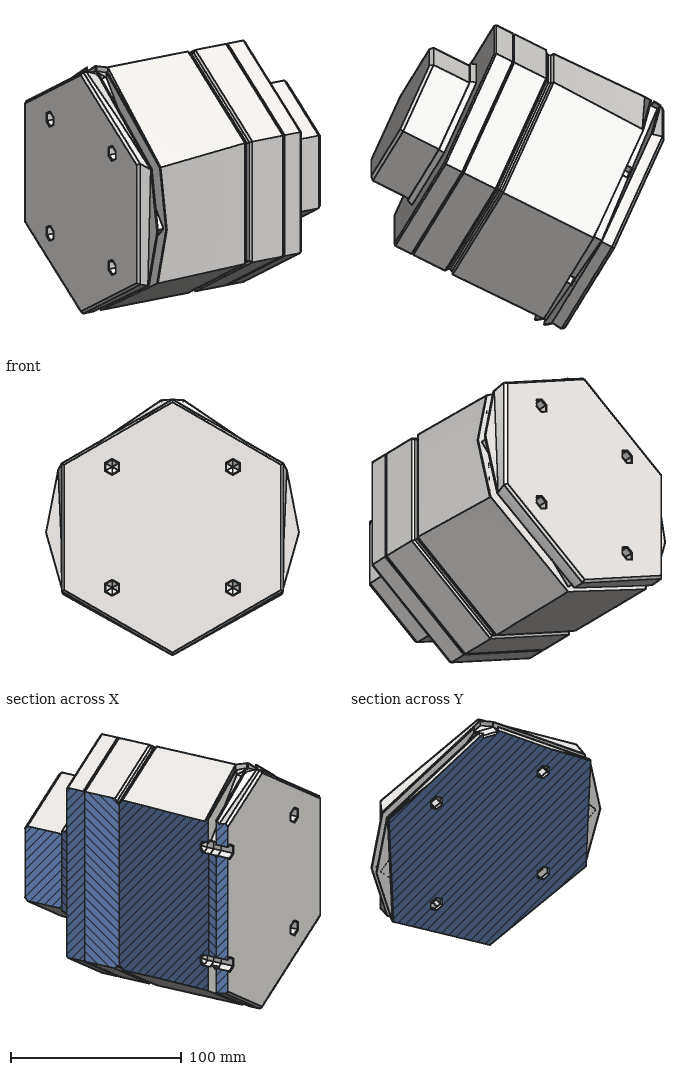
import cadquery as cq
import math


HEAD_RADIUS = 75.0
FRONT_EDGE_RADIUS = 73.4
SEAM_GROOVE_FLANK_RADIUS = 73.4
SEAM_GROOVE_FLOOR_RADIUS = 72.8
COLLAR_FRONT_RADIUS = 47.9
COLLAR_REAR_RADIUS = 46.4
STEM_RADIUS = 45.2

PLATE_EDGE_END = 1.7
PLATE_LIP_START = 7.5
PLATE_REAR = 8.4
HOUSING_FRONT = 13.7
HOUSING_LIP_END = 14.4
HOUSING_REAR = 75.8
CAP_FRONT = 99.8
CAP_REAR = 112.0
COLLAR_REAR = 115.5
STEM_REAR = 141.0

SEAM_GROOVE_HALF_WIDTH = 2.5
SEAM_GROOVE_FLANK_OFFSET = 1.4

SEAM_CHAMFER = 0.6
CAP_CHAMFER = 1.0
STEM_CHAMFER = 2.0

SHOULDER_X = 67.0
SHOULDER_Z = 33.6
HIP_X = 63.9
HIP_Z = -39.3
OVERALL_WIDTH = 148.4
LIP_TIP_X = OVERALL_WIDTH / 2
TIP_Z = -3.0
LIP_TOP_Z = 74.7
RING_RADIUS = 71.4

RECESS_RADIUS = 7.4
RECESS_CENTER_Y = (PLATE_REAR + HOUSING_FRONT) / 2
RECESS_HALF_WIDTH = RECESS_RADIUS * math.cos(math.radians(30))

HOLE_OFFSET = 35.4
HOLE_RADIUS = 4.4
HOLE_MOUTH_RADIUS = 4.8
HOLE_CHAMFER = HOLE_MOUTH_RADIUS - HOLE_RADIUS
HOLE_DEPTH = 18.0
DRILL_POINT_LENGTH = 2.5
DRILL_TIP_RADIUS = 0.2


def hexagon(radius, center_x=0.0, center_z=0.0):
    """Corner pairs, across and up, of a hexagon with one corner straight up."""
    angles = [math.radians(90 - 60 * i) for i in range(6)]
    return [(center_x + radius * math.cos(a), center_z + radius * math.sin(a)) for a in angles]


def mirrored_outline(right_side, bottom):
    """Outline from its +X corners, listed downwards, and its lowest corner."""
    left_side = [(-x, z) for x, z in reversed(right_side)]
    return right_side + [bottom] + left_side


def ring_wire(corners, y):
    return cq.Wire.makePolygon([cq.Vector(x, y, z) for x, z in corners], close=True)


def faceted_body(sections):
    """Flat-sided solid through (y, corners) sections listed from front to rear."""
    body = None
    for (y_a, corners_a), (y_b, corners_b) in zip(sections, sections[1:]):
        piece = cq.Solid.makeLoft([ring_wire(corners_a, y_a), ring_wire(corners_b, y_b)], True)
        body = cq.Workplane(piece) if body is None else body.union(cq.Workplane(piece))
    return body


def hex_body(stations, center_x=0.0, center_z=0.0):
    """Six-sided solid through (y, radius) stations."""
    return faceted_body([(y, hexagon(r, center_x, center_z)) for y, r in stations])


HEAD_OUTLINE = hexagon(HEAD_RADIUS)

RIM_OUTLINE = [
    (0, HEAD_RADIUS),
    (SHOULDER_X, SHOULDER_Z),
    (HIP_X, HIP_Z),
    (0, -HEAD_RADIUS),
    (-HIP_X, HIP_Z),
    (-SHOULDER_X, SHOULDER_Z),
]

LIP_OUTLINE = mirrored_outline(
    [
        (RECESS_HALF_WIDTH, LIP_TOP_Z),
        (SHOULDER_X, SHOULDER_Z),
        (LIP_TIP_X, TIP_Z),
        (HIP_X, HIP_Z),
    ],
    (0, -HEAD_RADIUS),
)

RING_OUTLINE = mirrored_outline(
    [(RECESS_HALF_WIDTH, RING_RADIUS), (RING_RADIUS, TIP_Z)],
    (0, -RING_RADIUS),
)


def top_recess():
    """Cutter for the hexagonal recess, from the ring's flat upwards."""
    return (
        cq.Workplane("XY", origin=(0, RECESS_CENTER_Y, RING_RADIUS))
        .polyline(hexagon(RECESS_RADIUS))
        .close()
        .extrude(HEAD_RADIUS)
    )


def mounting_holes():
    """Cutters for the four chamfered holes with drill-point bottoms."""
    stations = [
        (0, HOLE_MOUTH_RADIUS),
        (HOLE_CHAMFER, HOLE_RADIUS),
        (HOLE_DEPTH, HOLE_RADIUS),
        (HOLE_DEPTH + DRILL_POINT_LENGTH, DRILL_TIP_RADIUS),
    ]
    return [
        hex_body(stations, x, z)
        for x in (-HOLE_OFFSET, HOLE_OFFSET)
        for z in (-HOLE_OFFSET, HOLE_OFFSET)
    ]


def drilled(body):
    for hole in mounting_holes():
        body = body.cut(hole)
    return body


def make_brow(tip_y, rim_y):
    """Pyramid that widens the top corner from one point to the recess width at the groove."""
    rim_outline = [
        (-SHOULDER_X, SHOULDER_Z),
        (-RECESS_HALF_WIDTH, LIP_TOP_Z),
        (RECESS_HALF_WIDTH, LIP_TOP_Z),
        (SHOULDER_X, SHOULDER_Z),
        (0, 0),
    ]
    base = [cq.Vector(x, rim_y, z) for x, z in rim_outline]
    tip = cq.Vector(0, tip_y, HEAD_RADIUS)
    outlines = [base] + [[a, b, tip] for a, b in zip(base, base[1:] + base[:1])]
    faces = [cq.Face.makeFromWires(cq.Wire.makePolygon(points, close=True)) for points in outlines]
    return cq.Workplane(cq.Solid.makeSolid(cq.Shell.makeShell(faces)))


def make_front_plate():
    plate = faceted_body([
        (0, hexagon(FRONT_EDGE_RADIUS)),
        (PLATE_EDGE_END, HEAD_OUTLINE),
        (PLATE_LIP_START, RIM_OUTLINE),
    ])
    lip = faceted_body([(PLATE_LIP_START, LIP_OUTLINE), (PLATE_REAR, LIP_OUTLINE)])
    brow = make_brow(RECESS_CENTER_Y - RECESS_RADIUS, PLATE_LIP_START)
    return drilled(plate.union(brow).union(lip).cut(top_recess()))


def make_groove_ring():
    return drilled(faceted_body([(PLATE_REAR, RING_OUTLINE), (HOUSING_FRONT, RING_OUTLINE)]))


def make_housing():
    lip = faceted_body([(HOUSING_FRONT, LIP_OUTLINE), (HOUSING_LIP_END, LIP_OUTLINE)])
    shell = faceted_body([
        (HOUSING_LIP_END, RIM_OUTLINE),
        (HOUSING_REAR - SEAM_GROOVE_HALF_WIDTH, HEAD_OUTLINE),
        (HOUSING_REAR - SEAM_GROOVE_FLANK_OFFSET, hexagon(SEAM_GROOVE_FLANK_RADIUS)),
        (HOUSING_REAR, hexagon(SEAM_GROOVE_FLOOR_RADIUS)),
    ])
    brow = make_brow(RECESS_CENTER_Y + RECESS_RADIUS, HOUSING_LIP_END)
    return drilled(shell.union(brow).union(lip).cut(top_recess()))


def make_band():
    """Middle band, with its half of the shallow groove at the front."""
    return hex_body([
        (HOUSING_REAR, SEAM_GROOVE_FLOOR_RADIUS),
        (HOUSING_REAR + SEAM_GROOVE_FLANK_OFFSET, SEAM_GROOVE_FLANK_RADIUS),
        (HOUSING_REAR + SEAM_GROOVE_HALF_WIDTH, HEAD_RADIUS),
        (CAP_FRONT - SEAM_CHAMFER, HEAD_RADIUS),
        (CAP_FRONT, HEAD_RADIUS - SEAM_CHAMFER),
    ])


def make_cap():
    return hex_body([
        (CAP_FRONT, HEAD_RADIUS - SEAM_CHAMFER),
        (CAP_FRONT + SEAM_CHAMFER, HEAD_RADIUS),
        (CAP_REAR - CAP_CHAMFER, HEAD_RADIUS),
        (CAP_REAR, HEAD_RADIUS - CAP_CHAMFER),
    ])


def make_collar():
    return hex_body([(CAP_REAR, COLLAR_FRONT_RADIUS), (COLLAR_REAR, COLLAR_REAR_RADIUS)])


def make_stem():
    return hex_body([
        (COLLAR_REAR, STEM_RADIUS),
        (STEM_REAR - STEM_CHAMFER, STEM_RADIUS),
        (STEM_REAR, STEM_RADIUS - STEM_CHAMFER),
    ])


front_plate = make_front_plate()
groove_ring = make_groove_ring()
housing = make_housing()
band = make_band()
cap = make_cap()
collar = make_collar()
stem = make_stem()

result = cq.Compound.makeCompound([
    front_plate.solids().val(),
    groove_ring.solids().val(),
    housing.solids().val(),
    band.solids().val(),
    cap.solids().val(),
    collar.solids().val(),
    stem.solids().val(),
])